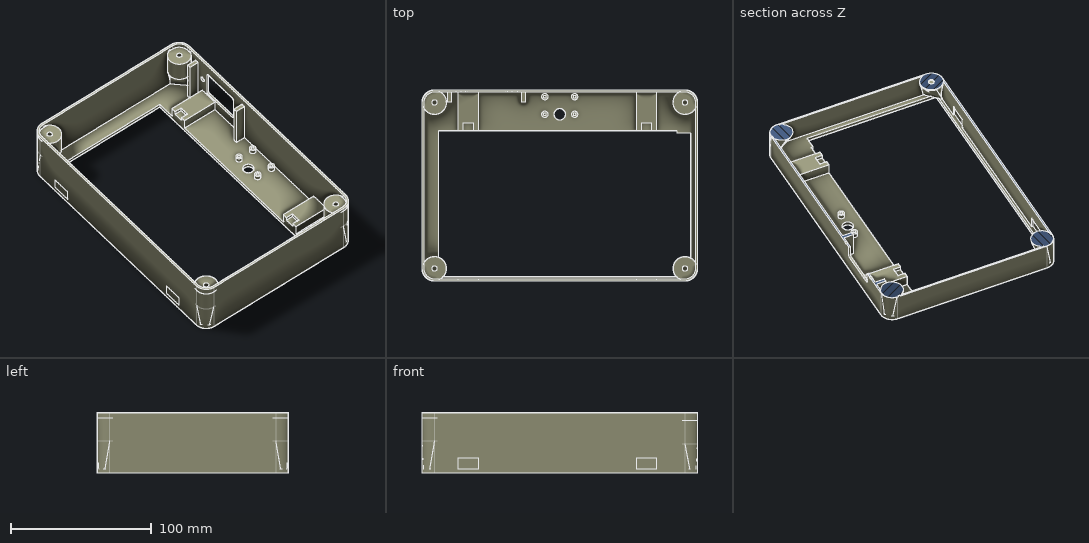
import cadquery as cq
import math

LENGTH = 196.0
WIDTH = 136.0
HEIGHT = 43.0
CORNER_RADIUS = 9.0
WALL = 1.5
FLOOR = 3.0
BACK_FACE = WIDTH / 2 - WALL
FRONT_FACE = -BACK_FACE

OPENING_LEFT = -86.0
OPENING_RIGHT = 93.0
OPENING_FRONT = -64.7
OPENING_BACK = 38.8
STEP_LENGTH = 9.7
STEP_DEPTH = 1.5

BLOCK_CENTERS_X = (-65.0, 61.7)
BLOCK_WIDTH = 14.4
BLOCK_HEIGHT = 8.0
NOTCH_WIDTH = 7.2
NOTCH_LENGTH = 5.5
NOTCH_DEPTH = 2.75

POCKET_DEPTH = 1.1

SOCKET_X = -52.0
SOCKET_Z = 23.0
WINDOW_LENGTH = 30.0
WINDOW_HEIGHT = 21.0
WINDOW_CORNER_RADIUS = 1.5
SOCKET_SCREW_SPACING = 40.0
SOCKET_SCREW_DIAMETER = 3.6
RIB_SPACING = 52.7
RIB_THICKNESS = 2.8
RIB_DEPTH = 7.3
RIB_TOP = 37.0

CABLE_HOLE_DIAMETER = 8.0
CABLE_HOLE_Y = 50.6
STANDOFF_DIAMETER = 4.5
STANDOFF_HOLE_DIAMETER = 2.0
STANDOFF_HEIGHT = 3.5
STANDOFF_SPACING_X = 21.2
STANDOFF_ROWS_Y = (50.6, 63.1)

POST_RADIUS = 8.5
POST_TOP = 39.4
SHAFT_LENGTH = 16.5
LOW_POST_DROP = 2.0
POST_HOLE_DIAMETER = 3.8
FOOT_INNER_OFFSET = 3.5
FOOT_INNER_WIDTH = 14.4
FOOT_OUTER_OFFSET = 7.9
FOOT_OUTER_WIDTH = 6.2
POST_X = LENGTH / 2 - CORNER_RADIUS
POST_Y = WIDTH / 2 - CORNER_RADIUS
POST_PLACES = (
    (-POST_X, -POST_Y, POST_TOP),
    (-POST_X, POST_Y, POST_TOP),
    (POST_X, POST_Y, POST_TOP),
    (POST_X, -POST_Y, POST_TOP - LOW_POST_DROP),
)


def box_between(x_range, y_range, z_range):
    sizes = [high - low for low, high in (x_range, y_range, z_range)]
    corner = (x_range[0], y_range[0], z_range[0])
    return cq.Workplane("XY").box(*sizes, centered=False).translate(corner)


def rounded_slab(length, width, radius, bottom, top):
    slab = cq.Workplane("XY").workplane(offset=bottom).rect(length, width).extrude(top - bottom)
    return slab.edges("|Z").fillet(radius)


def span(center, size):
    return (center - size / 2, center + size / 2)


def tray():
    floor = rounded_slab(LENGTH, WIDTH, CORNER_RADIUS, 0, FLOOR)
    outside = rounded_slab(LENGTH, WIDTH, CORNER_RADIUS, FLOOR, HEIGHT)
    inside = rounded_slab(LENGTH - 2 * WALL, WIDTH - 2 * WALL, CORNER_RADIUS - WALL, FLOOR, HEIGHT)
    return floor.union(outside.cut(inside))


def display_opening():
    step_start = OPENING_RIGHT - STEP_LENGTH
    outline = [
        (OPENING_LEFT, OPENING_FRONT),
        (OPENING_RIGHT, OPENING_FRONT),
        (OPENING_RIGHT, OPENING_BACK - STEP_DEPTH),
        (step_start, OPENING_BACK - STEP_DEPTH),
        (step_start, OPENING_BACK),
        (OPENING_LEFT, OPENING_BACK),
    ]
    return cq.Workplane("XY").polyline(outline).close().extrude(FLOOR)


def clip_block(x):
    top = FLOOR + BLOCK_HEIGHT
    block = box_between(span(x, BLOCK_WIDTH), (OPENING_BACK, BACK_FACE), (FLOOR, top))
    notch_y = (OPENING_BACK, OPENING_BACK + NOTCH_LENGTH)
    return block.cut(box_between(span(x, NOTCH_WIDTH), notch_y, (top - NOTCH_DEPTH, top)))


def clip_pocket(x):
    pocket_y = (FRONT_FACE - POCKET_DEPTH, FRONT_FACE)
    return box_between(span(x, BLOCK_WIDTH), pocket_y, (FLOOR, FLOOR + BLOCK_HEIGHT))


def guard_rib(x):
    return box_between(span(x, RIB_THICKNESS), (BACK_FACE - RIB_DEPTH, BACK_FACE), (FLOOR, RIB_TOP))


def socket_cutout():
    back_wall = (BACK_FACE, WIDTH / 2)
    window = box_between(span(SOCKET_X, WINDOW_LENGTH), back_wall, span(SOCKET_Z, WINDOW_HEIGHT))
    window = window.edges("|Y").fillet(WINDOW_CORNER_RADIUS)
    screw_holes = (
        cq.Workplane("XZ", origin=(SOCKET_X, WIDTH / 2, SOCKET_Z))
        .rarray(SOCKET_SCREW_SPACING, 1, 2, 1)
        .circle(SOCKET_SCREW_DIAMETER / 2)
        .extrude(WALL)
    )
    return window.union(screw_holes)


def standoffs():
    places = [(x, y) for x in span(0, STANDOFF_SPACING_X) for y in STANDOFF_ROWS_Y]
    return (
        cq.Workplane("XY")
        .workplane(offset=FLOOR)
        .pushPoints(places)
        .circle(STANDOFF_DIAMETER / 2)
        .circle(STANDOFF_HOLE_DIAMETER / 2)
        .extrude(STANDOFF_HEIGHT)
    )


def cable_hole():
    return cq.Workplane("XY").center(0, CABLE_HOLE_Y).circle(CABLE_HOLE_DIAMETER / 2).extrude(FLOOR)


def shaft_outline(height):
    """Circle as four quadrant arcs that start at -135 degrees, one for each side of the foot."""

    def rim_point(degrees):
        angle = math.radians(degrees)
        return cq.Vector(POST_RADIUS * math.cos(angle), POST_RADIUS * math.sin(angle), height)

    quadrants = [
        cq.Edge.makeThreePointArc(rim_point(start), rim_point(start + 45), rim_point(start + 90))
        for start in (-135, -45, 45, 135)
    ]
    return cq.Wire.assembleEdges(quadrants)


def foot_outline(height):
    corners = [
        cq.Vector(FOOT_INNER_OFFSET, -FOOT_INNER_WIDTH / 2, height),
        cq.Vector(FOOT_OUTER_OFFSET, -FOOT_OUTER_WIDTH / 2, height),
        cq.Vector(FOOT_OUTER_OFFSET, FOOT_OUTER_WIDTH / 2, height),
        cq.Vector(FOOT_INNER_OFFSET, FOOT_INNER_WIDTH / 2, height),
    ]
    return cq.Wire.makePolygon(corners, close=True)


def corner_post(x, y, top):
    """Post at (x, y) with a blind screw hole as deep as its shaft; the foot points at the corner."""
    shoulder = top - SHAFT_LENGTH
    foot = cq.Workplane(cq.Solid.makeLoft([foot_outline(FLOOR), shaft_outline(shoulder)], True))
    toward_corner = math.degrees(math.atan2(math.copysign(1, y), math.copysign(1, x)))
    foot = foot.rotate((0, 0, 0), (0, 0, 1), toward_corner)
    shaft_plane = cq.Workplane("XY").workplane(offset=shoulder)
    shaft = shaft_plane.circle(POST_RADIUS).extrude(SHAFT_LENGTH)
    hole = shaft_plane.circle(POST_HOLE_DIAMETER / 2).extrude(SHAFT_LENGTH)
    return foot.union(shaft).cut(hole).translate((x, y, 0))


posts = [corner_post(x, y, top) for x, y, top in POST_PLACES]

housing = tray().cut(display_opening()).cut(socket_cutout()).cut(cable_hole()).union(standoffs())
for block_x in BLOCK_CENTERS_X:
    housing = housing.union(clip_block(block_x)).cut(clip_pocket(block_x))
for rib_x in span(SOCKET_X, RIB_SPACING):
    housing = housing.union(guard_rib(rib_x))
for post in posts:
    housing = housing.cut(post)

result = cq.Compound.makeCompound([housing.solids().val(), *[post.val() for post in posts]])